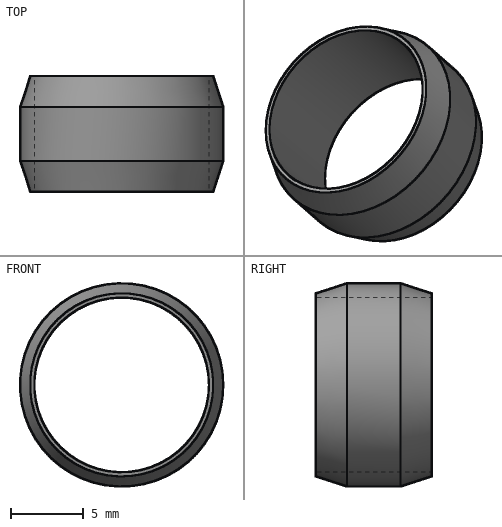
import cadquery as cq

outer_diameter = 14.0
bore_diameter = 12.0
end_diameter = 12.6
width = 8.0
band_width = 3.7

outer_radius = outer_diameter / 2
bore_radius = bore_diameter / 2
end_radius = end_diameter / 2
half_width = width / 2
half_band = band_width / 2

wall_section = (
    cq.Workplane("XY")
    .moveTo(bore_radius, -half_width)
    .lineTo(end_radius, -half_width)
    .lineTo(outer_radius, -half_band)
    .lineTo(outer_radius, half_band)
    .lineTo(end_radius, half_width)
    .lineTo(bore_radius, half_width)
    .close()
)

result = wall_section.revolve(360, (0, 0, 0), (0, 1, 0))